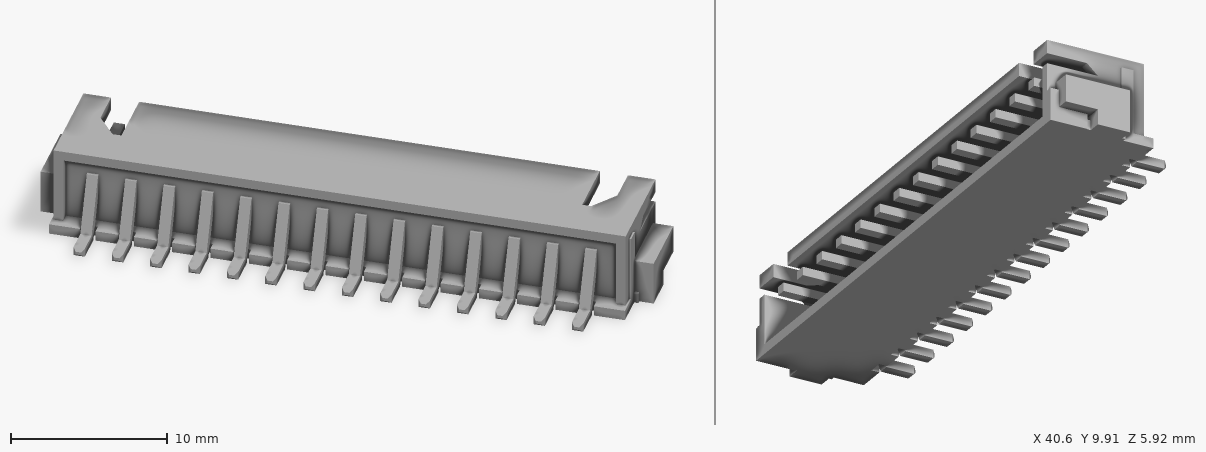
import cadquery as cq
import math


pin_count = 14
pitch = 2.54
pin_width = 0.75
pin_thickness = 0.6
pin_start_depth = 0.2
pin_end_depth = 9.91
pin_top = 4.2
pin_bend_depth = 6.58
pin_foot_bend_depth = 8.1
pin_tip_chamfer = 0.2

body_width = 37.9
body_height = 5.92
body_depth = 7.05
side_wall = 0.64
top_wall = 0.95
floor_wall = 0.7

back_recess_top = 5.27
back_recess_depth = 6.4
cavity_depth = 5.3

plate_width = 38.15
plate_depth = 7.68
plate_notch_width = 1.02
plate_notch_start_depth = 7.1

ledge_width = 38.7
high_ledge_width = 38.8
ledge_depth = 5.49
high_ledge_depth = 2.7
high_ledge_height = 2.3

pad_start_depth = 5.35
pad_end_depth = 6.22
pad_top = 5.22

slot_outer_x = 17.12
slot_inner_x = 15.26
slot_corner_x = 15.85
slot_bevel_depth = 2.5
slot_depth = 4.17

end_slot_bottom = 4.25
end_slot_top_depth = 2.9
end_slot_bottom_depth = 3.7

tab_span = 40.61
tab_start_depth = 0.62
tab_end_depth = 5.28
tab_height = 3.0
tab_foot_start_depth = 2.95
tab_arm_bottom = 1.07


def block(width, start_depth, end_depth, bottom, top):
    """Box centred on X between two depths and two heights."""
    box = cq.Workplane("XY").box(width, end_depth - start_depth, top - bottom, centered=(True, False, False))
    return box.translate((0, -end_depth, bottom))


def side_profile(points, width, center_x=0):
    """Extrude a (depth, height) outline along X, centred on center_x."""
    outline = [(-depth, height) for depth, height in points]
    start = center_x - width / 2
    return cq.Workplane("YZ").workplane(offset=start).polyline(outline).close().extrude(width)


def pin_positions():
    return [(index - (pin_count - 1) / 2) * pitch for index in range(pin_count)]


def make_housing():
    inner_width = body_width - 2 * side_wall
    housing = block(body_width, 0, body_depth, 0, body_height)
    housing = housing.union(block(plate_width, pad_start_depth, plate_depth, 0, floor_wall))
    housing = housing.union(block(plate_width, pad_start_depth, pad_end_depth, 0, pad_top))
    housing = housing.union(block(ledge_width, 0, ledge_depth, 0, floor_wall))
    housing = housing.union(block(high_ledge_width, 0, high_ledge_depth, 0, high_ledge_height))
    housing = housing.cut(block(inner_width, back_recess_depth, plate_depth, floor_wall, back_recess_top))
    return housing.cut(block(inner_width, 0, cavity_depth, floor_wall, body_height - top_wall))


def cut_plate_notches(housing):
    for x in pin_positions():
        notch = block(plate_notch_width, plate_notch_start_depth, plate_depth, 0, floor_wall)
        housing = housing.cut(notch.translate((x, 0, 0)))
    return housing


def cut_latch_slots(housing):
    outline = [
        (slot_outer_x, 0),
        (slot_outer_x, -slot_bevel_depth),
        (slot_corner_x, -slot_depth),
        (slot_inner_x, -slot_depth),
        (slot_inner_x, 0),
    ]
    slot_floor = body_height - top_wall
    slot = cq.Workplane("XY").workplane(offset=slot_floor).polyline(outline).close().extrude(top_wall)
    return housing.cut(slot).cut(slot.mirror("YZ"))


def cut_end_slots(housing):
    slot_top = body_height - top_wall
    outline = [
        (0, end_slot_bottom),
        (end_slot_bottom_depth, end_slot_bottom),
        (end_slot_top_depth, slot_top),
        (0, slot_top),
    ]
    return housing.cut(side_profile(outline, body_width))


def make_tabs():
    """L-shaped tabs on both ends; they stop at the end faces of the housing."""
    outline = [
        (tab_start_depth, tab_arm_bottom),
        (tab_foot_start_depth, tab_arm_bottom),
        (tab_foot_start_depth, 0),
        (tab_end_depth, 0),
        (tab_end_depth, tab_height),
        (tab_start_depth, tab_height),
    ]
    tab_width = (tab_span - body_width) / 2
    tab_center = (tab_span + body_width) / 4
    tab = side_profile(outline, tab_width, tab_center)
    return tab.union(tab.mirror("YZ"))


def make_pin():
    """Straight contact, sloping tail and flat solder foot of constant thickness."""
    slope_run = pin_foot_bend_depth - pin_bend_depth
    slope_drop = pin_top - pin_thickness
    slope_angle = math.atan2(slope_drop, slope_run)
    bend_shift = pin_thickness * math.tan(slope_angle / 2)
    outline = [
        (pin_start_depth, pin_top),
        (pin_bend_depth, pin_top),
        (pin_foot_bend_depth, pin_thickness),
        (pin_end_depth, pin_thickness),
        (pin_end_depth, 0),
        (pin_foot_bend_depth - bend_shift, 0),
        (pin_bend_depth - bend_shift, pin_top - pin_thickness),
        (pin_start_depth, pin_top - pin_thickness),
    ]
    pin = side_profile(outline, pin_width)
    return pin.faces("<Y").edges().chamfer(pin_tip_chamfer)


housing = make_housing()
housing = cut_plate_notches(housing)
housing = cut_latch_slots(housing)
housing = cut_end_slots(housing)

result = housing.union(make_tabs())
pin = make_pin()
for pin_x in pin_positions():
    result = result.union(pin.translate((pin_x, 0, 0)))